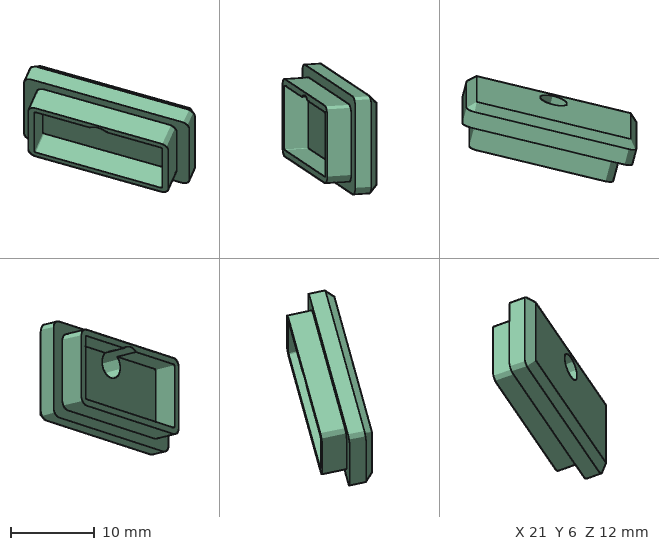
import cadquery as cq

width = 21.0
depth = 6.0
height = 12.0
flange_thickness = depth / 2
corner_radius = 1.0
back_chamfer = 0.99

plug_width = 17.8
plug_height = 9.5
plug_length = depth - flange_thickness
wall = 0.8
pocket_radius = corner_radius - wall
pocket_depth = plug_length

hole_diameter = 3.3
hole_height = 2.7


def rounded_block(size_x, size_z, length, radius, front_y):
    """Block with rounded Y edges, running back (+Y) from front_y."""
    return (
        cq.Workplane("XZ", origin=(0, front_y, 0))
        .rect(size_x, size_z)
        .extrude(-length)
        .edges("|Y")
        .fillet(radius)
    )


flange = rounded_block(width, height, flange_thickness, corner_radius, 0)
flange = flange.faces(">Y").chamfer(back_chamfer)

plug = rounded_block(plug_width, plug_height, plug_length, corner_radius, -plug_length)

pocket = rounded_block(
    plug_width - 2 * wall,
    plug_height - 2 * wall,
    pocket_depth,
    pocket_radius,
    -plug_length,
)

hole = (
    cq.Workplane("XZ", origin=(0, -plug_length, 0))
    .center(0, hole_height)
    .circle(hole_diameter / 2)
    .extrude(-depth)
)

result = flange.union(plug).cut(pocket).cut(hole)